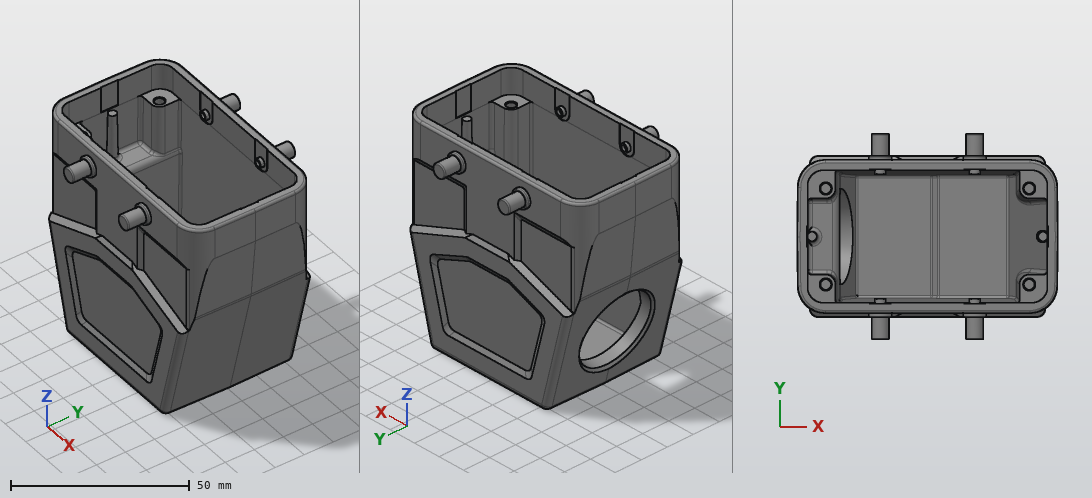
import cadquery as cq
import math

length = 73.0
height = 72.0
upper_width = 42.85
neck_bottom_z = 33.6
corner_radius = 7.7
lower_width = 45.1
rim_rounding = 0.8

draft_angle = 0.7
bottom_half_length = 23.95
knee_z = 40.4
knee_half_length = 34.4
upper_knee_z = 61.0
knee_rounding = 5.85
lower_edge_rounding = 2.1

roof_top_z = 44.7
roof_flat_half = 9.1
roof_angle = 20.0
roof_bevel_height = 1.5
roof_bevel_width = 1.45

pocket_depth = 0.95
pocket_wall_run = 1.8
pocket_inner_x = 11.6
pocket_top_z = 57.5
pocket_corner_radius = 1.8
pocket_corner_x = 32.05
pocket_corner_run = 1.2
pocket_corner_drop = 0.45

label_depth = 0.95
label_wall_run = 1.75
label_top_z = 37.2
label_top_half = 8.3
label_shoulder_z = 31.25
label_shoulder_half = 23.9
label_bottom_z = 8.0
label_bottom_half = 17.75
label_corner_radius = 5.5

pin_x = 13.2
pin_z = 65.6
pin_diameter = 4.9
pin_span = 57.6
pin_tip_rounding = 0.4
collar_diameter = 6.5
collar_span = 45.25
collar_rounding = 0.4
rivet_diameter = 3.0
rivet_bore = 1.9
rivet_bore_depth = 1.1
rivet_span = 34.9
wall_slot_width = 5.85
wall_slot_depth = 0.2

opening_length = 67.15
opening_width = 37.1
opening_radius = 4.4
seat_z = 63.15
floor_z = 5.1
raised_floor_z = 6.9
floor_step_x = 1.1
floor_half_width = 17.15
left_floor_x = 20.1
right_floor_x = 22.6
ledge_z = 46.7
ledge_inner_x = 24.8
ledge_rounding = 1.9
boss_wall_x = 24.4
boss_wall_z = 21.5
side_wall_x = 33.3
cavity_rounding = 0.7
inner_rounding = 1.1
corner_rounding = 0.65

post_x = 28.5
post_y = 13.4
post_edge_x = 25.8
post_edge_y = 10.65
post_corner_radius = 2.7
post_draft = 1.2
post_hole_diameter = 3.0
post_hole_mouth = 3.5
post_hole_depth = 18.25
peg_x = 32.35
peg_diameter = 2.7
peg_top_z = 62.4
peg_draft = 1.0

entry_z = 20.1
entry_diameter = 26.9
entry_mouth = 28.75
entry_reach = 14.6
entry_overlap = 0.7

end_slope = (knee_half_length - bottom_half_length) / knee_z
end_angle = math.degrees(math.atan(end_slope))


def xz_prism(points, y_start, y_length, taper=0.0):
    """Prism with an XZ outline that grows from y_start towards +Y by y_length."""
    plane = cq.Plane(origin=(0, y_start, 0), xDir=(-1, 0, 0), normal=(0, 1, 0))
    outline = [(-x, z) for x, z in points]
    return cq.Workplane(plane).polyline(outline).close().extrude(y_length, taper=taper)


def sloped_recess(mouth_outline, mouth_y, depth, wall_run, wall_corner):
    """Recess cutter going in from the +Y face, with sloping walls and rounded corners between them."""
    plane = cq.Plane(origin=(0, mouth_y, 0), xDir=(1, 0, 0), normal=(0, -1, 0))
    taper = math.degrees(math.atan(wall_run / depth))
    cutter = cq.Workplane(plane).polyline(mouth_outline).close().extrude(depth, taper=taper)
    return cutter.edges("not #Y").fillet(wall_corner)


def on_both_sides(shape, plane):
    """Join a shape with its mirror image in the named plane."""
    return shape.union(shape.mirror(plane))


def symmetric_outline(right_points):
    """Close a right-hand chain of points with its mirror image across X = 0."""
    return right_points + [(-x, z) for x, z in reversed(right_points)]


def edges_between(shape, low_corner, high_corner):
    """Edges whose midpoints lie in a box, given by its corners and a small margin."""
    margin = cq.Vector(0.1, 0.1, 0.1)
    low = cq.Vector(*low_corner) - margin
    high = cq.Vector(*high_corner) + margin
    return shape.edges(cq.selectors.BoxSelector(low.toTuple(), high.toTuple()))


def edges_on_four_sides(shape, low_corner, high_corner):
    """Edges in a box in the +X +Y quarter and in its three mirror images."""
    found = edges_between(shape, low_corner, high_corner)
    (x1, y1, z1), (x2, y2, z2) = low_corner, high_corner
    found = found.add(edges_between(shape, (-x2, y1, z1), (-x1, y2, z2)))
    found = found.add(edges_between(shape, (x1, -y2, z1), (x2, -y1, z2)))
    return found.add(edges_between(shape, (-x2, -y2, z1), (-x1, -y1, z2)))


def half_form():
    """Rear half of the front outline, drafted backwards from the middle plane."""
    outline = symmetric_outline([
        (bottom_half_length, 0),
        (knee_half_length, knee_z),
        (length / 2, upper_knee_z),
        (length / 2, 2 * height),
    ])
    half = xz_prism(outline, 0, lower_width / 2, draft_angle)
    knees = edges_between(half, (-length, 0, knee_z), (length, lower_width, knee_z))
    return knees.fillet(knee_rounding)


def end_form():
    """Front outline of the housing, drafted both ways from the middle plane."""
    return on_both_sides(half_form(), "XZ")


def roof_bevels(start, slope, drop, depth):
    """Wedges that bevel both long edges of one roof plane, which passes through start along X."""
    plane = cq.Plane(origin=start, xDir=(0, 1, 0), normal=(1, 0, slope))
    edge_y = lower_width / 2
    wedge = (cq.Workplane(plane).polyline([(edge_y, -drop), (edge_y, 0), (edge_y - depth, 0)]).close()
             .extrude(length, both=True))
    return on_both_sides(wedge, "XZ")


def roof_prism():
    """Roof-shaped shoulder, bevelled down to the neck and, more deeply, to the pocket floors."""
    slope = math.tan(math.radians(roof_angle))
    roof_end = length / 2
    roof_end_z = roof_top_z - (roof_end - roof_flat_half) * slope
    roof = symmetric_outline([(roof_end, 0), (roof_end, roof_end_z), (roof_flat_half, roof_top_z)])
    prism = xz_prism(roof, -lower_width / 2, lower_width)
    neck_step = (lower_width - upper_width) / 2
    floor_step = neck_step + pocket_depth
    prism = prism.cut(roof_bevels((0, 0, roof_top_z), 0, roof_bevel_height, neck_step))
    for end in (-1, 1):
        start = (end * roof_flat_half, 0, roof_top_z)
        prism = prism.cut(roof_bevels(start, -end * slope, roof_bevel_width, floor_step))
    return prism


def lower_body():
    """Wide lower half with rounded edges under the roof-shaped shoulder."""
    half = half_form()
    middle_y = lower_width / 4
    middle_rise = middle_y * math.tan(math.radians(draft_angle))
    bottom_ends = edges_between(half, (-length, middle_y, 0), (length, middle_y, middle_rise))
    half = half.faces(">Y").edges("not(>Z)").add(bottom_ends).fillet(lower_edge_rounding)
    return on_both_sides(half, "XZ").intersect(roof_prism())


def upper_body():
    """Rounded rectangular neck below the rim, narrowed by the sloping ends and cut by pockets."""
    side_y = upper_width / 2
    side_x = length / 2 - side_y * math.tan(math.radians(draft_angle))
    neck_outline = [
        (length / 2, 0), (side_x, side_y), (-side_x, side_y),
        (-length / 2, 0), (-side_x, -side_y), (side_x, -side_y),
    ]
    neck = (cq.Workplane("XY").workplane(offset=neck_bottom_z).polyline(neck_outline).close()
            .extrude(height - neck_bottom_z).edges("|Z and (<Y or >Y)").fillet(corner_radius))
    neck = neck.faces(">Z").edges().fillet(rim_rounding)
    neck = neck.intersect(end_form())
    floor_y = side_y - pocket_depth
    mouth_x = pocket_inner_x - pocket_wall_run
    mouth_top_z = pocket_top_z + pocket_wall_run
    mouth_outline = [(mouth_x, 0), (length, 0), (length, mouth_top_z), (mouth_x, mouth_top_z)]
    pocket = sloped_recess(mouth_outline, side_y, pocket_depth, pocket_wall_run, pocket_corner_radius)
    cut_end_x = pocket_corner_x + 2 * pocket_corner_run
    cut_end_y = floor_y - 2 * pocket_corner_drop
    cut_outline = [(pocket_corner_x, floor_y), (cut_end_x, cut_end_y), (cut_end_x, floor_y)]
    corner_cut = (cq.Workplane("XY").workplane(offset=neck_bottom_z).polyline(cut_outline).close()
                  .extrude(pocket_top_z - neck_bottom_z))
    pockets = on_both_sides(on_both_sides(pocket.union(corner_cut), "YZ"), "XZ")
    return neck.cut(pockets)


def label_recesses():
    """Shallow recess with sloping walls on each wide side of the lower body."""
    outline = symmetric_outline([
        (label_bottom_half, label_bottom_z),
        (label_shoulder_half, label_shoulder_z),
        (label_top_half, label_top_z),
    ])
    recess = sloped_recess(outline, lower_width / 2, label_depth, label_wall_run, label_corner_radius)
    return on_both_sides(recess, "XZ")


def cavity():
    """Drafted hollow below the seat, with a stepped floor, around the posts and pegs."""
    step_run = raised_floor_z - floor_z
    right_slope_z = raised_floor_z + (side_wall_x - right_floor_x) / end_slope
    outline = [
        (-opening_length / 2, seat_z),
        (-side_wall_x, ledge_z), (-ledge_inner_x, ledge_z),
        (-boss_wall_x, boss_wall_z), (-left_floor_x, floor_z),
        (floor_step_x, floor_z), (floor_step_x + step_run, raised_floor_z),
        (right_floor_x, raised_floor_z), (side_wall_x, right_slope_z),
        (opening_length / 2, seat_z),
    ]
    hollow = xz_prism(outline, -opening_width / 2, opening_width)
    cross_section = symmetric_outline([(floor_half_width, floor_z), (opening_width / 2, seat_z)])
    drafted = (cq.Workplane("YZ").workplane(offset=-length / 2)
               .polyline(cross_section).close().extrude(length))
    hollow = hollow.intersect(drafted)
    ledge_edge = edges_between(hollow, (-ledge_inner_x, 0, ledge_z), (-ledge_inner_x, 0, ledge_z))
    hollow = ledge_edge.fillet(ledge_rounding)
    floor_edges = edges_between(hollow, (-length, -length, floor_z), (length, length, raised_floor_z))
    hollow = floor_edges.fillet(cavity_rounding)

    hollow = hollow.cut(posts()).cut(pegs())
    below_seat_z = seat_z - cavity_rounding
    ledge_foot = edges_between(hollow, (-length, -opening_width, ledge_z), (-post_x, opening_width, ledge_z))
    post_roots = edges_on_four_sides(
        hollow, (post_x, post_edge_y - post_corner_radius / 2, floor_z), (length, post_edge_y, below_seat_z))
    hollow = ledge_foot.add(post_roots).fillet(inner_rounding)
    corner_start_z = raised_floor_z + 3 * corner_rounding
    upright_corners = edges_on_four_sides(
        hollow, (left_floor_x, floor_half_width, corner_start_z), (post_x, opening_width / 2, below_seat_z))
    return upright_corners.fillet(corner_rounding)


def rim_opening():
    """Rounded rectangular opening from the seat up to the rim."""
    return (cq.Workplane("XY").workplane(offset=seat_z).rect(opening_length, opening_width)
            .extrude(height - seat_z).edges("|Z").fillet(opening_radius))


def posts():
    """Four corner screw posts, widening downwards, left solid inside the cavity."""
    post_length = seat_z - floor_z
    growth = post_length * math.tan(math.radians(post_draft))
    post = (cq.Workplane("XY").workplane(offset=floor_z)
            .moveTo((post_edge_x + length) / 2, (post_edge_y + length) / 2)
            .rect(length - post_edge_x + 2 * growth, length - post_edge_y + 2 * growth)
            .extrude(post_length, taper=post_draft))
    edge = post.edges(cq.selectors.NearestToPointSelector(
        (post_edge_x - growth / 2, post_edge_y - growth / 2, floor_z + post_length / 2)))
    post = edge.fillet(post_corner_radius)
    return on_both_sides(on_both_sides(post, "YZ"), "XZ")


def pegs():
    """Tapered guide peg against each end wall."""
    peg_length = peg_top_z - floor_z
    peg = (cq.Workplane("XY").workplane(offset=peg_top_z).moveTo(peg_x, 0)
           .circle(peg_diameter / 2).extrude(-peg_length, taper=-peg_draft))
    return on_both_sides(peg, "YZ")


def post_holes():
    """Screw holes with a countersunk mouth, one in each post."""
    mouth_depth = (post_hole_mouth - post_hole_diameter) / 2
    places = [(x, y) for x in (-post_x, post_x) for y in (-post_y, post_y)]
    top = cq.Workplane("XY").workplane(offset=seat_z).pushPoints(places)
    holes = top.circle(post_hole_diameter / 2).extrude(-post_hole_depth)
    mouths = top.circle(post_hole_mouth / 2).extrude(-mouth_depth, taper=45)
    return holes.union(mouths)


def cylinder_along_y(x, radius, span):
    """Cylinder across the housing, centred on a pin axis at x."""
    plane = cq.Plane(origin=(x, -span / 2, pin_z), xDir=(1, 0, 0), normal=(0, 1, 0))
    return cq.Workplane(plane).circle(radius).extrude(span)


def wall_slots():
    """Shallow slots in the inner walls, open at the rim, for the pin rivets and the pegs."""
    span = opening_width + 2 * wall_slot_depth
    slots = (cq.Workplane("XY").workplane(offset=pin_z).pushPoints([(-pin_x, 0), (pin_x, 0)])
             .rect(wall_slot_width, span).extrude(height - pin_z))
    for x in (-pin_x, pin_x):
        slots = slots.union(cylinder_along_y(x, wall_slot_width / 2, span))
    end_slot = (cq.Workplane("XY").workplane(offset=seat_z)
                .rect(opening_length + 2 * wall_slot_depth, wall_slot_width).extrude(height - seat_z))
    return slots.union(end_slot)


def pin_ends(x, diameter, outer_span, inner_span):
    """Pair of coaxial cylinders, one through each long wall, from inner_span out to outer_span."""
    whole = cylinder_along_y(x, diameter / 2, outer_span)
    return whole.cut(cylinder_along_y(x, diameter, inner_span))


def pins():
    """Locking pins with collars, riveted through both long walls."""
    parts = cq.Workplane("XY")
    wall_middle_span = (upper_width + opening_width) / 2
    for x in (-pin_x, pin_x):
        pin = pin_ends(x, pin_diameter, pin_span, wall_middle_span)
        pin = pin.faces("<Y or >Y").edges().fillet(pin_tip_rounding)
        collar = pin_ends(x, collar_diameter, collar_span, wall_middle_span)
        collar = collar.faces("<Y or >Y").edges().fillet(collar_rounding)
        rivet = pin_ends(x, rivet_diameter, upper_width, rivet_span)
        bore = cylinder_along_y(x, rivet_bore / 2, rivet_span + 2 * rivet_bore_depth)
        parts = parts.union(pin.union(collar).union(rivet).cut(bore))
    return parts


def cable_entry():
    """Round opening square to the sloping left end, with a chamfered mouth."""
    tilt = math.radians(end_angle)
    inward = cq.Vector(math.cos(tilt), 0, math.sin(tilt))
    mouth = cq.Vector(-bottom_half_length - end_slope * entry_z, 0, entry_z)
    chamfer_depth = (entry_mouth - entry_diameter) / 2
    hole = (cq.Workplane(cq.Plane(mouth - inward * entry_overlap, (0, 1, 0), inward))
            .circle(entry_diameter / 2).extrude(entry_reach))
    chamfer = (cq.Workplane(cq.Plane(mouth, (0, 1, 0), inward))
               .circle(entry_mouth / 2).extrude(chamfer_depth, taper=45))
    return hole.union(chamfer)


shell = lower_body().union(upper_body())
hollow = cavity().union(rim_opening()).union(wall_slots())
housing = shell.cut(label_recesses()).cut(hollow).cut(post_holes()).cut(cable_entry())
result = housing.union(pins())